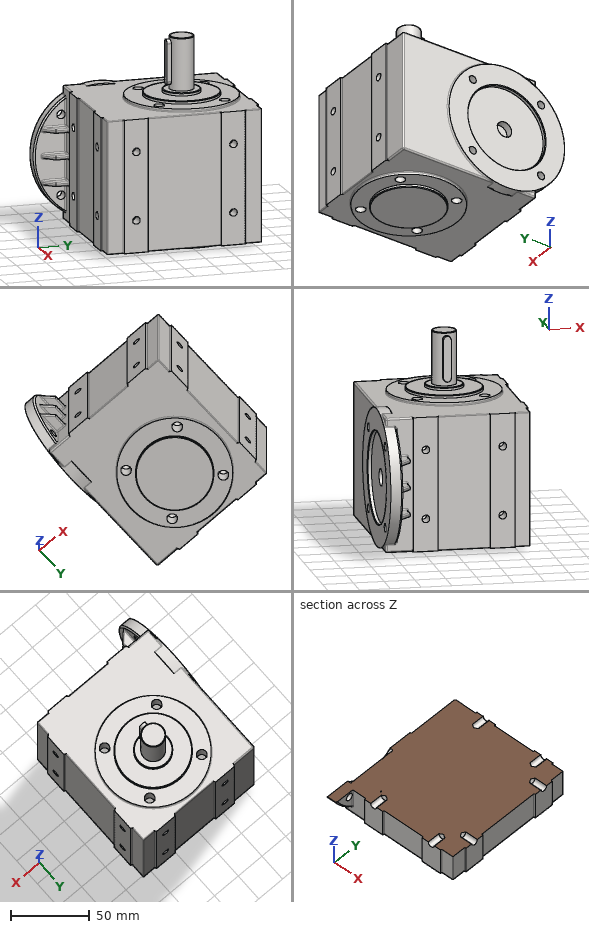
import cadquery as cq
import math


half_height = 44.0
left_face = -51.0
right_face = 43.0
front_face = -63.3
back_face = 40.0
motor_side_round = 1.0
housing_round = 0.5

pad_height = 1.0
pad_width = 16.0
pad_root_fillet = 0.5
pad_spacing_x = 50.0
pad_spacing_y = 64.9
pad_hole_diameter = 4.9
pad_hole_depth = 10.0
pad_hole_spacing_z = 45.2

cover_diameter = 74.0
cover_root_fillet = 0.5
cover_level = 46.0
spigot_diameter = 50.0
spigot_level = 48.0
spigot_chamfer = 0.5
cover_hole_diameter = 6.6
cover_hole_spacing = 43.9
cover_hole_depth = 12.0

shaft_diameter = 16.0
shaft_top = 85.0
shaft_chamfer = 0.5
collar_diameter = 25.0
collar_level = 50.0
key_width = 5.0
key_length = 30.0
key_top = 83.0
key_reach = 10.5

flange_face = -52.0
flange_thickness = 8.0
flange_y = -39.9
flange_diameter = 90.0
flange_chamfer = 1.0
casting_fillet = 0.8
recess_diameter = 60.0
recess_depth = 2.7
recess_chamfer = 0.5
bore_diameter = 11.0
bore_depth = flange_thickness
flange_hole_diameter = 5.5
flange_hole_spacing = 53.2
flange_hole_depth = 12.0

rib_thickness = 2.7
rib_round = 0.8
rib_pitch = 17.5
rib_side = -36.8
rib_straight_end = -72.4

selection_margin = 0.07
drill_point_angle = 118

flange_radius = flange_diameter / 2
corner_root_z = math.sqrt(flange_radius**2 - (front_face - flange_y) ** 2)
housing_center_y = (front_face + back_face) / 2
flange_back = flange_face + flange_thickness


def cylinder(diameter, bottom, top):
    return cq.Workplane("XY").workplane(offset=bottom).circle(diameter / 2).extrude(top - bottom)


def drilled_hole(point, inward, diameter, depth):
    """Blind hole with a conical bottom, entering at a point along the inward direction."""
    start = cq.Vector(point)
    direction = cq.Vector(inward)
    radius = diameter / 2
    tip = radius / math.tan(math.radians(drill_point_angle / 2))
    bore = cq.Solid.makeCylinder(radius, depth, start, direction)
    cone = cq.Solid.makeCone(radius, 0, tip, start + direction * depth, direction)
    return cq.Workplane(bore.fuse(cone))


def block(x_range, y_range, z_range):
    size = [limits[1] - limits[0] for limits in (x_range, y_range, z_range)]
    return cq.Workplane("XY").box(*size, centered=False).translate((x_range[0], y_range[0], z_range[0]))


def housing():
    """Box with a larger edge rounding on the motor side; the change of rounding lies under the pads."""
    width = (front_face, back_face)
    height = (-half_height, half_height)
    overlap = pad_width / 2
    split = -pad_spacing_x / 2
    motor_side = block((left_face, split + overlap / 2), width, height).edges().fillet(motor_side_round)
    far_side = block((split - overlap / 2, right_face), width, height).edges().fillet(housing_round)
    return motor_side.union(far_side)


def pad(center, outward_angle):
    """Full-height pad with filleted roots on the wall through center, facing the given angle about Z."""
    half = pad_width / 2
    root = pad_root_fillet
    embedded = 2 * housing_round
    section = (
        cq.Workplane("XY").workplane(offset=-half_height)
        .moveTo(-embedded, -half - root)
        .lineTo(0, -half - root)
        .radiusArc((root, -half), root)
        .lineTo(pad_height, -half)
        .lineTo(pad_height, half)
        .lineTo(root, half)
        .radiusArc((0, half + root), root)
        .lineTo(-embedded, half + root)
        .close()
    )
    prism = section.extrude(2 * half_height)
    return prism.rotate((0, 0, 0), (0, 0, 1), outward_angle).translate((*center, 0))


def pad_layout():
    """Wall point and outward angle about Z of every pad."""
    layout = []
    for side in (-1, 1):
        x = side * pad_spacing_x / 2
        y = housing_center_y + side * pad_spacing_y / 2
        layout += [((x, front_face), -90), ((x, back_face), 90), ((right_face, y), 0)]
    return layout


def edges_between(solid, low, high):
    """Edges lying wholly in the box between two corners, widened by the selection margin."""
    low_corner = tuple(value - selection_margin for value in low)
    high_corner = tuple(value + selection_margin for value in high)
    return solid.edges(cq.selectors.BoxSelector(low_corner, high_corner, boundingbox=True))


def add_motor_flange(solid):
    """Flange disc with ribs, a chamfered free rim, and fillets where they grow out of the housing."""
    disc = (
        cq.Workplane("YZ", origin=(flange_face, flange_y, 0))
        .circle(flange_radius).extrude(flange_thickness)
    )
    lowest = flange_y - flange_radius
    free_rim = edges_between(
        solid.union(disc),
        (flange_back, lowest, -flange_radius), (flange_back, front_face, flange_radius),
    )
    solid = free_rim.edges("%CIRCLE").chamfer(flange_chamfer).union(ribs())

    wall_reach = half_height - motor_side_round
    front_roots = edges_between(
        solid, (left_face, front_face, -corner_root_z), (rib_side, front_face, corner_root_z)
    )
    left_roots = edges_between(
        solid, (left_face, front_face, -wall_reach), (left_face, back_face, wall_reach)
    ).edges("%CIRCLE")
    rib_ends = edges_between(
        solid, (flange_back, lowest, -wall_reach), (flange_back, front_face, wall_reach)
    ).edges("%LINE")
    return solid.newObject(
        list(dict.fromkeys(front_roots.vals() + left_roots.vals() + rib_ends.vals()))
    ).fillet(casting_fillet)


def ribs():
    """Three ribs with rounded outer edges, sloping at 45 degrees to the back of the flange."""
    inner_x = flange_back - flange_chamfer
    inner_y = front_face + housing_round
    slope_end = rib_straight_end - (rib_side - flange_back)
    outline = [
        (inner_x, inner_y),
        (rib_side, inner_y),
        (rib_side, rib_straight_end),
        (flange_back, slope_end),
        (inner_x, slope_end),
    ]
    rib = (
        cq.Workplane("XY").workplane(offset=-rib_thickness / 2)
        .polyline(outline).close().extrude(rib_thickness)
    )
    outer_edges = cq.selectors.BoxSelector(
        (flange_back + selection_margin, slope_end, -rib_thickness),
        (rib_side + selection_margin, inner_y - selection_margin, rib_thickness),
    )
    rib = rib.edges("#Z").edges(outer_edges).fillet(rib_round)
    solid = rib
    for step in (-1, 1):
        solid = solid.union(rib.translate((0, 0, step * rib_pitch)))
    return solid


def add_covers(solid):
    """Covers with filleted roots and chamfered spigots on the top and bottom faces."""
    solid = solid.union(cylinder(cover_diameter, -cover_level, cover_level))
    radius = cover_diameter / 2
    for level in (-half_height, half_height):
        root = edges_between(solid, (-radius, -radius, level), (radius, radius, level))
        solid = root.edges("%CIRCLE").fillet(cover_root_fillet)
    spigots = cylinder(spigot_diameter, -spigot_level, spigot_level)
    return solid.union(spigots.faces("|Z").edges().chamfer(spigot_chamfer))


def shaft():
    rod = cylinder(shaft_diameter, 0, shaft_top).faces(">Z").edges().chamfer(shaft_chamfer)
    collar = cylinder(collar_diameter, 0, collar_level).faces(">Z").edges().chamfer(shaft_chamfer)
    key = (
        cq.Workplane("XZ").center(0, key_top - key_length / 2)
        .slot2D(key_length, key_width, 90).extrude(key_reach)
    )
    return rod.union(collar).union(key)


def pad_holes():
    holes = []
    for (x, y), outward_angle in pad_layout():
        angle = math.radians(outward_angle)
        outward = cq.Vector(math.cos(angle), math.sin(angle), 0)
        for z in (-pad_hole_spacing_z / 2, pad_hole_spacing_z / 2):
            surface = cq.Vector(x, y, z) + outward * pad_height
            holes.append(drilled_hole(surface, outward * -1, pad_hole_diameter, pad_hole_depth))
    return holes


def cover_holes():
    offset = cover_hole_spacing / 2
    return [
        drilled_hole((x, y, end * cover_level), (0, 0, -end), cover_hole_diameter, cover_hole_depth)
        for x in (-offset, offset)
        for y in (-offset, offset)
        for end in (-1, 1)
    ]


def flange_cuts():
    face = cq.Workplane("YZ", origin=(flange_face, flange_y, 0))
    mouth = recess_diameter / 2 + recess_chamfer
    cuts = [
        face.circle(recess_diameter / 2).extrude(recess_depth),
        face.circle(mouth).extrude(recess_chamfer, taper=45),
        face.circle(bore_diameter / 2).extrude(bore_depth),
    ]
    offset = flange_hole_spacing / 2
    for y in (flange_y - offset, flange_y + offset):
        for z in (-offset, offset):
            point = (flange_face, y, z)
            cuts.append(drilled_hole(point, (1, 0, 0), flange_hole_diameter, flange_hole_depth))
    return cuts


result = add_covers(add_motor_flange(housing()))
for wall_point, outward_angle in pad_layout():
    result = result.union(pad(wall_point, outward_angle))
result = result.union(shaft())
for cut in pad_holes() + cover_holes() + flange_cuts():
    result = result.cut(cut)